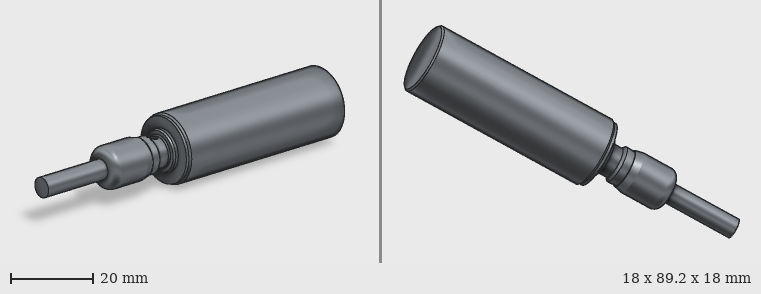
import cadquery as cq

total_length = 89.2

body_radius = 9.0
body_front_y = 40.1
back_chamfer = 0.45

flange_radius = 8.6
flange_back_y = 39.6
flange_front_y = 38.8
collar_radius = 5.5
collar_chamfer_y = 38.0
collar_front_y = 37.4
collar_front_radius = 5.3
neck_flare_width = 0.3
neck_flare_length = 0.45

neck_radius = 4.0
neck_front_y = 34.25
lamp_hole_radius = 1.0
lamp_radius = 0.9
lamp_y = 35.8
lamp_recess = 0.3
lamp_center_z = neck_radius - lamp_recess - lamp_radius

ring_radius = 4.8
ring_back_y = 33.5
ring_bevel_y = 32.9
ring_front_radius = 4.7
gland_back_y = 31.3
gland_back_radius = 5.0
gland_radius = 5.5
gland_shoulder_y = 29.2
gland_front_y = 18.9
gland_round = 2.1

cable_radius = 2.6


def make_housing():
    """Housing with a bevelled back edge and a front flange behind a short cone."""
    body = (
        cq.Workplane("XZ", origin=(0, total_length, 0))
        .circle(body_radius)
        .extrude(total_length - body_front_y)
        .faces(">Y")
        .chamfer(back_chamfer)
    )
    flange = (
        cq.Workplane("XY")
        .moveTo(0, body_front_y)
        .lineTo(body_radius, body_front_y)
        .lineTo(flange_radius, flange_back_y)
        .lineTo(flange_radius, flange_front_y)
        .lineTo(0, flange_front_y)
        .close()
        .revolve(360, (0, 0, 0), (0, 1, 0))
    )
    return body.union(flange)


def make_connection():
    """Collar, neck, gland and cable as one turned profile."""
    gland = (
        cq.Workplane("XY")
        .moveTo(0, body_front_y)
        .lineTo(collar_radius, body_front_y)
        .lineTo(collar_radius, collar_chamfer_y)
        .lineTo(collar_front_radius, collar_front_y)
        .lineTo(neck_radius + neck_flare_width, collar_front_y)
        .lineTo(neck_radius, collar_front_y - neck_flare_length)
        .lineTo(neck_radius, neck_front_y)
        .lineTo(ring_radius, ring_back_y)
        .lineTo(ring_radius, ring_bevel_y)
        .lineTo(ring_front_radius, gland_back_y)
        .lineTo(gland_back_radius, gland_back_y)
        .lineTo(gland_radius, gland_shoulder_y)
        .lineTo(gland_radius, gland_front_y + gland_round)
        .radiusArc((gland_radius - gland_round, gland_front_y), gland_round)
        .lineTo(cable_radius, gland_front_y)
        .lineTo(cable_radius, 0)
        .lineTo(0, 0)
        .close()
    )
    return gland.revolve(360, (0, 0, 0), (0, 1, 0))


def make_lamp_hole():
    """Blind hole down into the top of the neck, as deep as the lamp's equator."""
    return (
        cq.Workplane("XY", origin=(0, lamp_y, lamp_center_z))
        .circle(lamp_hole_radius)
        .extrude(neck_radius - lamp_center_z)
    )


def make_lamp():
    """Domed lamp in the hole, just below the top of the neck."""
    return cq.Workplane("XY", origin=(0, lamp_y, lamp_center_z)).sphere(lamp_radius)


turned_part = make_housing().union(make_connection())
result = turned_part.cut(make_lamp_hole()).union(make_lamp())